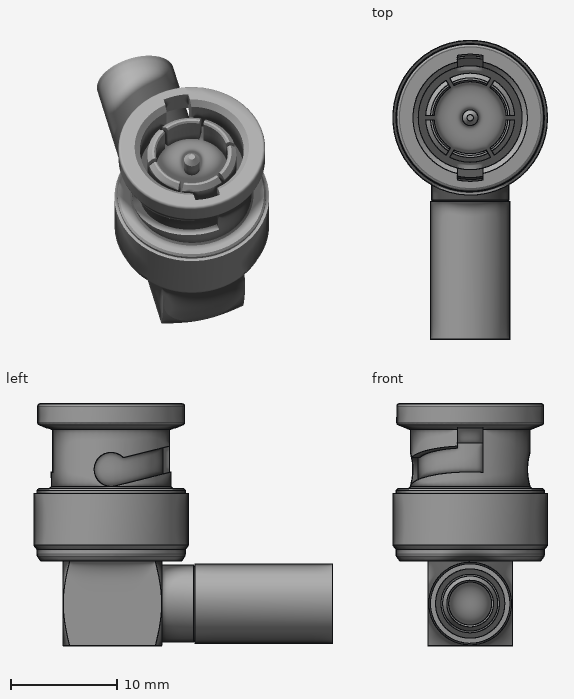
import cadquery as cq
import math


BODY_WIDTH = 8.0
BODY_FRONT_Y = -4.8
BODY_BACK_Y = 4.55
CORNER_CONE_RADIUS = 3.9
CORNER_CONE_ANGLE = 20.0

NECK_RADIUS = 3.64
FERRULE_RADIUS = 3.75
FERRULE_BORE_RADIUS = 3.27
FERRULE_START_Y = -7.9
FERRULE_END_Y = -20.9
NECK_CHAMFER = 0.15
STUB_RADIUS = 2.76
STUB_TAPER_RADIUS = 2.6
STUB_TIP_RADIUS = 2.2
STUB_BORE_RADIUS = 2.03
STUB_TAPER_START_Y = -10.9
STUB_TAPER_LENGTH = 1.0
STUB_BORE_DEPTH = 3.0

NUT_BOTTOM_Z = BODY_WIDTH / 2
NUT_TOP_Z = 18.85
COLLAR_RADIUS = 7.0
GRIP_RADIUS = 7.3
GRIP_BOTTOM_Z = 5.5
GRIP_TOP_Z = 10.4
GRIP_TAPER = 0.38
COLLAR_TOP_Z = 10.85
COLLAR_CONE_HEIGHT = 0.54
COLLAR_CONE_ANGLE = 33.0
COLLAR_CONE_FILLET = 0.5
COLLAR_BOTTOM_FILLET = 0.25
COLLAR_TOP_CHAMFER = 0.18
BARREL_RADIUS = 5.65
BARREL_FOOT_CHAMFER = 0.18
RIM_RADIUS = 6.93
RIM_UNDERSIDE_Z = 16.4
RIM_UNDERSIDE_ANGLE = 22.0
RIM_FILLET = 0.25
NUT_BORE_RADIUS = 4.9
NUT_BORE_CHAMFER = 0.5

SLOT_WIDTH = 2.4
ENTRY_RADIUS = 6.0
RAMP_ANGLE = 14.0
LOCK_HOLE_RADIUS = 1.6
LOCK_HOLE_Z = 12.65

INSULATOR_Z = 15.16
SLEEVE_TOP_Z = 18.0
SLEEVE_OUTER_RADIUS = 4.2
SLEEVE_INNER_RADIUS = 3.4
SLEEVE_OUTER_CHAMFER = 0.45
SLEEVE_INNER_CHAMFER = 0.15
SLIT_WIDTH = 0.4
SLIT_COUNT = 6
PIN_RADIUS = 0.74
PIN_TIP_RADIUS = 0.3
PIN_SHOULDER_Z = 16.7
PIN_TIP_Z = 17.2

OVERLAP = 0.5
HEIGHT_TOLERANCE = 0.01


def cylinder_z(radius, bottom, top):
    return cq.Workplane("XY").workplane(offset=bottom).circle(radius).extrude(top - bottom)


def cylinder_y(radius, start, end):
    """Cylinder on the cable axis, running from Y = start towards -Y."""
    return cq.Workplane("XZ").workplane(offset=-start).circle(radius).extrude(start - end)


def edges_near_height(height):
    """Selector for the circular edges lying at one height on the mating axis."""
    reach = 2 * GRIP_RADIUS
    return cq.selectors.BoxSelector(
        (-reach, -reach, height - HEIGHT_TOLERANCE),
        (reach, reach, height + HEIGHT_TOLERANCE),
    )


def elbow_body():
    depth = BODY_BACK_Y - BODY_FRONT_Y
    box = cq.Workplane("XY").box(BODY_WIDTH, depth, BODY_WIDTH)
    box = box.translate((0, (BODY_BACK_Y + BODY_FRONT_Y) / 2, 0))
    outer_radius = BODY_WIDTH
    setback = (outer_radius - CORNER_CONE_RADIUS) * math.tan(math.radians(CORNER_CONE_ANGLE))
    turned = (
        cq.Workplane("XY")
        .moveTo(0, BODY_FRONT_Y)
        .lineTo(CORNER_CONE_RADIUS, BODY_FRONT_Y)
        .lineTo(outer_radius, BODY_FRONT_Y + setback)
        .lineTo(outer_radius, BODY_BACK_Y - setback)
        .lineTo(CORNER_CONE_RADIUS, BODY_BACK_Y)
        .lineTo(0, BODY_BACK_Y)
        .close()
        .revolve(360, (0, 0, 0), (0, 1, 0))
    )
    return box.intersect(turned)


def cable_exit():
    neck = cylinder_y(NECK_RADIUS, BODY_FRONT_Y + OVERLAP, FERRULE_START_Y)
    neck = neck.faces("<Y").chamfer(NECK_CHAMFER)
    ferrule = cylinder_y(FERRULE_RADIUS, FERRULE_START_Y, FERRULE_END_Y)
    bore = cylinder_y(FERRULE_BORE_RADIUS, FERRULE_START_Y, FERRULE_END_Y)
    bore = bore.translate((0, -OVERLAP, 0))
    return neck.union(ferrule.cut(bore)).union(cable_stub())


def cable_stub():
    """Hollow tapered stub inside the ferrule."""
    tip_y = STUB_TAPER_START_Y - STUB_TAPER_LENGTH
    mouth_chamfer = STUB_TIP_RADIUS - STUB_BORE_RADIUS
    floor_y = tip_y + STUB_BORE_DEPTH
    return (
        cq.Workplane("XY")
        .moveTo(0, FERRULE_START_Y + OVERLAP)
        .lineTo(STUB_RADIUS, FERRULE_START_Y + OVERLAP)
        .lineTo(STUB_RADIUS, STUB_TAPER_START_Y)
        .lineTo(STUB_TAPER_RADIUS, STUB_TAPER_START_Y)
        .lineTo(STUB_TIP_RADIUS, tip_y)
        .lineTo(STUB_BORE_RADIUS, tip_y + mouth_chamfer)
        .lineTo(STUB_BORE_RADIUS, floor_y)
        .lineTo(0, floor_y)
        .close()
        .revolve(360, (0, 0, 0), (0, 1, 0))
    )


def nut_blank():
    underside_rise = (RIM_RADIUS - BARREL_RADIUS) * math.tan(math.radians(RIM_UNDERSIDE_ANGLE))
    cone_inset = COLLAR_CONE_HEIGHT * math.tan(math.radians(COLLAR_CONE_ANGLE))
    cone_top_z = NUT_BOTTOM_Z + COLLAR_CONE_HEIGHT
    profile = (
        cq.Workplane("XZ")
        .moveTo(0, NUT_BOTTOM_Z)
        .lineTo(COLLAR_RADIUS - cone_inset, NUT_BOTTOM_Z)
        .lineTo(COLLAR_RADIUS, cone_top_z)
        .lineTo(COLLAR_RADIUS, GRIP_BOTTOM_Z - GRIP_TAPER)
        .lineTo(GRIP_RADIUS, GRIP_BOTTOM_Z)
        .lineTo(GRIP_RADIUS, GRIP_TOP_Z)
        .lineTo(COLLAR_RADIUS, GRIP_TOP_Z)
        .lineTo(COLLAR_RADIUS, COLLAR_TOP_Z - COLLAR_TOP_CHAMFER)
        .lineTo(COLLAR_RADIUS - COLLAR_TOP_CHAMFER, COLLAR_TOP_Z)
        .lineTo(BARREL_RADIUS + BARREL_FOOT_CHAMFER, COLLAR_TOP_Z)
        .lineTo(BARREL_RADIUS, COLLAR_TOP_Z + BARREL_FOOT_CHAMFER)
        .lineTo(BARREL_RADIUS, RIM_UNDERSIDE_Z)
        .lineTo(RIM_RADIUS, RIM_UNDERSIDE_Z + underside_rise)
        .lineTo(RIM_RADIUS, NUT_TOP_Z)
        .lineTo(0, NUT_TOP_Z)
        .close()
    )
    blank = profile.revolve(360, (0, 0, 0), (0, 1, 0))
    rim_edge_z = RIM_UNDERSIDE_Z + underside_rise
    blank = blank.edges(edges_near_height(NUT_BOTTOM_Z)).fillet(COLLAR_BOTTOM_FILLET)
    blank = blank.edges(edges_near_height(cone_top_z)).fillet(COLLAR_CONE_FILLET)
    blank = blank.edges(edges_near_height(rim_edge_z)).fillet(RIM_FILLET)
    blank = blank.edges(edges_near_height(NUT_TOP_Z)).fillet(RIM_FILLET)
    bore = cylinder_z(NUT_BORE_RADIUS, NUT_BOTTOM_Z, NUT_TOP_Z)
    mouth = blank.cut(bore).faces(">Z").edges(cq.selectors.RadiusNthSelector(0))
    return mouth.chamfer(NUT_BORE_CHAMFER)


def bayonet_slot():
    """Cutter for one slot: entry at -Y, ramp down round the -X side, round lock hole at the end."""
    ramp_angle = math.radians(RAMP_ANGLE)
    ramp_axis_z = LOCK_HOLE_Z - (LOCK_HOLE_RADIUS - SLOT_WIDTH / 2) / math.cos(ramp_angle)
    half_height = SLOT_WIDTH / 2 / math.cos(ramp_angle)
    rise = GRIP_RADIUS * math.tan(ramp_angle)
    tangent_y = -LOCK_HOLE_RADIUS * math.sin(ramp_angle)
    ramp = (
        cq.Workplane("YZ")
        .workplane(offset=-GRIP_RADIUS)
        .moveTo(0, ramp_axis_z + half_height)
        .lineTo(-GRIP_RADIUS, ramp_axis_z + half_height + rise)
        .lineTo(-GRIP_RADIUS, ramp_axis_z - half_height + rise)
        .lineTo(tangent_y, LOCK_HOLE_Z - LOCK_HOLE_RADIUS * math.cos(ramp_angle))
        .lineTo(0, LOCK_HOLE_Z)
        .close()
        .extrude(GRIP_RADIUS + SLOT_WIDTH / 2)
    )
    lock_hole = (
        cq.Workplane("YZ")
        .workplane(offset=-GRIP_RADIUS)
        .center(0, LOCK_HOLE_Z)
        .circle(LOCK_HOLE_RADIUS)
        .extrude(GRIP_RADIUS)
    )
    entry_bottom = LOCK_HOLE_Z + LOCK_HOLE_RADIUS / 2
    entry = (
        cq.Workplane("XY")
        .workplane(offset=entry_bottom)
        .center(0, -ENTRY_RADIUS / 2)
        .rect(SLOT_WIDTH, ENTRY_RADIUS)
        .extrude(NUT_TOP_Z - entry_bottom)
        .intersect(cylinder_z(ENTRY_RADIUS, entry_bottom, NUT_TOP_Z))
    )
    return ramp.union(lock_hole).union(entry)


def coupling_nut():
    nut = nut_blank()
    slot = bayonet_slot()
    for turn in (0, 180):
        nut = nut.cut(slot.rotate((0, 0, 0), (0, 0, 1), turn))
    return nut


def contact_sleeve():
    sleeve = (
        cq.Workplane("XZ")
        .moveTo(SLEEVE_INNER_RADIUS, INSULATOR_Z)
        .lineTo(SLEEVE_OUTER_RADIUS, INSULATOR_Z)
        .lineTo(SLEEVE_OUTER_RADIUS, SLEEVE_TOP_Z - SLEEVE_OUTER_CHAMFER)
        .lineTo(SLEEVE_OUTER_RADIUS - SLEEVE_OUTER_CHAMFER, SLEEVE_TOP_Z)
        .lineTo(SLEEVE_INNER_RADIUS + SLEEVE_INNER_CHAMFER, SLEEVE_TOP_Z)
        .lineTo(SLEEVE_INNER_RADIUS, SLEEVE_TOP_Z - SLEEVE_INNER_CHAMFER)
        .close()
        .revolve(360, (0, 0, 0), (0, 1, 0))
    )
    slit_length = 2 * NUT_BORE_RADIUS
    slit = (
        cq.Workplane("XY")
        .workplane(offset=INSULATOR_Z)
        .rect(slit_length, SLIT_WIDTH)
        .extrude(SLEEVE_TOP_Z - INSULATOR_Z)
    )
    for index in range(SLIT_COUNT // 2):
        sleeve = sleeve.cut(slit.rotate((0, 0, 0), (0, 0, 1), index * 360 / SLIT_COUNT))
    return sleeve


def centre_pin():
    return (
        cq.Workplane("XZ")
        .moveTo(0, INSULATOR_Z - OVERLAP)
        .lineTo(PIN_RADIUS, INSULATOR_Z - OVERLAP)
        .lineTo(PIN_RADIUS, PIN_SHOULDER_Z)
        .lineTo(PIN_TIP_RADIUS, PIN_TIP_Z)
        .lineTo(0, PIN_TIP_Z)
        .close()
        .revolve(360, (0, 0, 0), (0, 1, 0))
    )


core = cylinder_z(NUT_BORE_RADIUS, NUT_BOTTOM_Z, INSULATOR_Z)
result = coupling_nut().union(core)
result = result.union(contact_sleeve())
result = result.union(centre_pin())
result = result.union(elbow_body())
result = result.union(cable_exit())